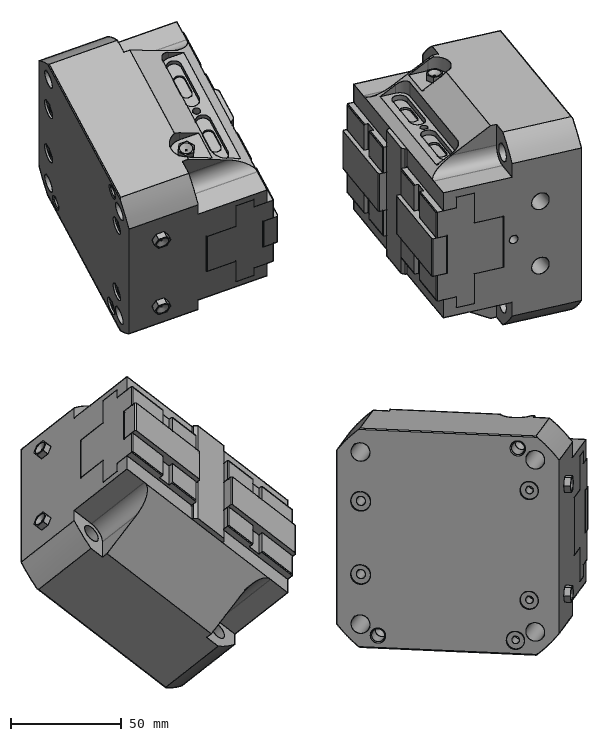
import cadquery as cq
import math


OVERALL_LENGTH = 105

BODY_SIDE = 102.0
BODY_DEPTH = 67.8
CORNER_RADIUS = 65.0
FRONT_CHAMFER = 0.5
SLOPE_START = 37.0
SLOPE_ANGLE = 30
NOTCH_START = 34.0
NOTCH_EDGE = 33.1
NOTCH_RADIUS = 6.9
HALF_SIDE = BODY_SIDE / 2

RIDGE_WIDTH = 19.2
RIDGE_TOP = 70.0
RIDGE_CHAMFER = 1.4

JAW_TOP = 71.2
JAW_NECK_HALF = 23.5
JAW_FLANGE_TOP = 61.4
JAW_FLANGE_HALF = 29.2
JAW_FLANGE_BOTTOM = 52.6
JAW_STEM_HALF = 13.4
JAW_BOTTOM = 38.1
JAW_CHAMFER = 0.4
JAW_GAP = 20.0
JAW_LENGTH = (BODY_SIDE - JAW_GAP) / 2
JAW_X = (BODY_SIDE + JAW_GAP) / 4
CROSS_SLOT_WIDTH = 6.0
CROSS_SLOT_DEPTH = 2.1
CROSS_SLOT_X = 28.5

KEY_WIDTH = 19.8
KEY_TOP = 73.3
KEY_BOTTOM = 65.7
KEY_CHAMFER = 0.5
KEY_HEIGHT = KEY_TOP - KEY_BOTTOM
KEY_Y = (KEY_TOP + KEY_BOTTOM) / 2

DRILL_TIP_ANGLE = 118
MOUNT_HOLE_DIAMETER = 8.6
MOUNT_HOLE_OFFSET = 40.0
DOWEL_DIAMETER = 6.0
DOWEL_DEPTH = 10.0
DOWEL_CHAMFER = 0.5
DOWEL_X = 32.0
DOWEL_Z = 44.9
SEAL_DEPTH = 1.0
LEFT_PORT_DIAMETER = 4.2
LEFT_SEAL_DIAMETER = 9.0
LEFT_PORT_Z = 17.0
RIGHT_PORT_DIAMETER = 3.5
RIGHT_PORT_DEPTH = 10.0
RIGHT_SEAL_DIAMETER = 8.3
RIGHT_PORT_X = 37.2
RIGHT_PORT_Z = 25.5
PURGE_PORT_X = 30.9
PURGE_PORT_Z = -44.4

SIDE_PORT_DIAMETER = 8.6
SIDE_PORT_DEPTH = 12.0
SIDE_PORT_Y = 20.2
SIDE_VENT_DIAMETER = 4.2
SIDE_VENT_DEPTH = 10.0
SIDE_VENT_Y = 33.3

SENSOR_LENGTH = 64.0
SENSOR_NEAR_Y = 50.5
SENSOR_FAR_Y = 63.0
SENSOR_CORNER_RADIUS = 4.9
OVAL_X = 16.4
OVAL_Y = 55.8
OVAL_LENGTH = 27.1
OVAL_WIDTH = 7.2
OVAL_DEPTH = 2.5
INNER_OVAL_LENGTH = 13.0
INNER_OVAL_WIDTH = 5.4
INNER_OVAL_DEPTH = 3.6
SENSOR_HOLE_DIAMETER = 3.5
SENSOR_HOLE_DEPTH = 5.2
SENSOR_HOLE_Y = 55.3

NIPPLE_POCKET_WIDTH = 15.0
NIPPLE_POCKET_X = 24.5
NIPPLE_POCKET_Y = 39.6
NIPPLE_POCKET_FAR_Y = 49.0

NIPPLE_FLATS = 6.9
NIPPLE_LENGTH = OVERALL_LENGTH - BODY_SIDE
NIPPLE_MOUTH_DIAMETER = 6.0
NIPPLE_BORE_DIAMETER = 0.7
FUNNEL_DEPTH = 1.4
SIDE_NIPPLE_Y = 15.2

SIDES = (-1, 1)
X_DIRECTION = cq.Vector(1, 0, 0)
Y_DIRECTION = cq.Vector(0, 1, 0)
DOWN = cq.Vector(0, 0, -1)


def slope_height(y):
    """Height z of the sloped top face at depth y."""
    return HALF_SIDE - (y - SLOPE_START) * math.tan(math.radians(SLOPE_ANGLE))


def rear_plane(y):
    """Work plane at depth y that faces +Y."""
    return cq.Workplane("XZ", origin=(0, y, 0)).transformed(rotate=(0, 180, 0))


def cylinder(start, direction, diameter, depth):
    return cq.Workplane(cq.Solid.makeCylinder(diameter / 2, depth, start, direction))


def blind_hole(start, direction, diameter, depth):
    """Cutter for a drilled hole with a conical tip beyond its depth."""
    radius = diameter / 2
    tip_length = radius / math.tan(math.radians(DRILL_TIP_ANGLE / 2))
    tip = cq.Solid.makeCone(radius, 0, tip_length, start + direction * depth, direction)
    return cylinder(start, direction, diameter, depth).union(cq.Workplane(tip))


def jaw_section():
    """Stepped section of the jaw and its slot in the YZ plane."""
    upper_half = [
        (JAW_TOP, JAW_NECK_HALF),
        (JAW_FLANGE_TOP, JAW_NECK_HALF),
        (JAW_FLANGE_TOP, JAW_FLANGE_HALF),
        (JAW_FLANGE_BOTTOM, JAW_FLANGE_HALF),
        (JAW_FLANGE_BOTTOM, JAW_STEM_HALF),
        (JAW_BOTTOM, JAW_STEM_HALF),
    ]
    lower_half = [(y, -z) for y, z in reversed(upper_half)]
    return cq.Workplane("YZ").polyline(upper_half + lower_half).close()


def housing_block():
    """Square block with rounded corners and sloped rear top and bottom."""
    block = rear_plane(0).rect(BODY_SIDE, BODY_SIDE).extrude(BODY_DEPTH)
    block = block.faces("<Y").edges("|X").chamfer(FRONT_CHAMFER)
    block = block.intersect(rear_plane(0).circle(CORNER_RADIUS).extrude(BODY_DEPTH))
    rear_height = slope_height(BODY_DEPTH)
    side_outline = [
        (0, HALF_SIDE),
        (SLOPE_START, HALF_SIDE),
        (BODY_DEPTH, rear_height),
        (BODY_DEPTH, -rear_height),
        (SLOPE_START, -HALF_SIDE),
        (0, -HALF_SIDE),
    ]
    return block.intersect(cq.Workplane("YZ").polyline(side_outline).close().extrude(HALF_SIDE, both=True))


def cut_corner_notches(body):
    """Square rear corners removed, with a rounded inner corner along Y."""
    depth = BODY_DEPTH - NOTCH_START
    reach = 2 * (HALF_SIDE - NOTCH_EDGE)
    centre = NOTCH_EDGE + reach / 2
    centre_y = NOTCH_START + depth / 2
    notch = cq.Workplane().box(reach, depth, reach).edges("|Y").fillet(NOTCH_RADIUS)
    for side_x in SIDES:
        for side_z in SIDES:
            body = body.cut(notch.translate((side_x * centre, centre_y, side_z * centre)))
    return body


def ridge():
    height = RIDGE_TOP - BODY_DEPTH
    bar = cq.Workplane().box(RIDGE_WIDTH, height, 2 * slope_height(BODY_DEPTH))
    bar = bar.edges(">Y and |Z").chamfer(RIDGE_CHAMFER)
    return bar.translate((0, BODY_DEPTH + height / 2, 0))


def cut_front_holes(body):
    mount_spacing = 2 * MOUNT_HOLE_OFFSET
    mount_holes = rear_plane(0).rarray(mount_spacing, mount_spacing, 2, 2).circle(MOUNT_HOLE_DIAMETER / 2)
    body = body.cut(mount_holes.extrude(BODY_DEPTH))

    for side in SIDES:
        dowel_start = cq.Vector(side * DOWEL_X, 0, side * DOWEL_Z)
        body = body.cut(blind_hole(dowel_start, Y_DIRECTION, DOWEL_DIAMETER, DOWEL_DEPTH))
        radius = DOWEL_DIAMETER / 2
        lead_in = cq.Solid.makeCone(radius + DOWEL_CHAMFER, radius, DOWEL_CHAMFER, dowel_start, Y_DIRECTION)
        body = body.cut(cq.Workplane(lead_in))

    right_ports = [
        (RIGHT_PORT_X, RIGHT_PORT_Z),
        (RIGHT_PORT_X, -RIGHT_PORT_Z),
        (PURGE_PORT_X, PURGE_PORT_Z),
    ]
    for x, z in right_ports:
        start = cq.Vector(x, 0, z)
        body = body.cut(cylinder(start, Y_DIRECTION, RIGHT_SEAL_DIAMETER, SEAL_DEPTH))
        body = body.cut(blind_hole(start, Y_DIRECTION, RIGHT_PORT_DIAMETER, RIGHT_PORT_DEPTH))
    return body


def cut_side_holes(body):
    """Ports in the -X face, each met by a port from the front, and a vent."""
    for side in SIDES:
        z = side * LEFT_PORT_Z
        front_start = cq.Vector(-MOUNT_HOLE_OFFSET, 0, z)
        side_start = cq.Vector(-HALF_SIDE, SIDE_PORT_Y, z)
        body = body.cut(cylinder(front_start, Y_DIRECTION, LEFT_SEAL_DIAMETER, SEAL_DEPTH))
        body = body.cut(cylinder(front_start, Y_DIRECTION, LEFT_PORT_DIAMETER, SIDE_PORT_Y))
        body = body.cut(blind_hole(side_start, X_DIRECTION, SIDE_PORT_DIAMETER, SIDE_PORT_DEPTH))
    vent_start = cq.Vector(-HALF_SIDE, SIDE_VENT_Y, 0)
    return body.cut(blind_hole(vent_start, X_DIRECTION, SIDE_VENT_DIAMETER, SIDE_VENT_DEPTH))


def cut_sensor_pocket(body):
    """Flat-floored pocket with two stepped oval recesses and a hole between them."""
    floor_z = slope_height(SENSOR_FAR_Y)
    width = SENSOR_FAR_Y - SENSOR_NEAR_Y
    pocket = (
        cq.Workplane("XY", origin=(0, SENSOR_NEAR_Y + width / 2, floor_z))
        .rect(SENSOR_LENGTH, width)
        .extrude(HALF_SIDE - floor_z)
        .edges("|Z and <Y")
        .fillet(SENSOR_CORNER_RADIUS)
    )
    floor = cq.Workplane("XY", origin=(0, 0, floor_z))
    oval_places = [(side * OVAL_X, OVAL_Y) for side in SIDES]
    ovals = floor.pushPoints(oval_places).slot2D(OVAL_LENGTH, OVAL_WIDTH).extrude(-OVAL_DEPTH)
    inner_ovals = (
        floor.pushPoints(oval_places)
        .slot2D(INNER_OVAL_LENGTH, INNER_OVAL_WIDTH)
        .extrude(-INNER_OVAL_DEPTH)
    )
    hole_start = cq.Vector(0, SENSOR_HOLE_Y, floor_z)
    hole = cylinder(hole_start, DOWN, SENSOR_HOLE_DIAMETER, SENSOR_HOLE_DEPTH)
    return body.cut(pocket).cut(ovals).cut(inner_ovals).cut(hole)


def cut_nipple_pocket(body):
    """Flat-floored pocket with a round end, running out of the slope."""
    floor_z = slope_height(NIPPLE_POCKET_FAR_Y)
    radius = NIPPLE_POCKET_WIDTH / 2
    straight = NIPPLE_POCKET_FAR_Y - NIPPLE_POCKET_Y
    pocket = (
        cq.Workplane("XY", origin=(NIPPLE_POCKET_X, NIPPLE_POCKET_Y, floor_z))
        .moveTo(-radius, 0)
        .threePointArc((0, -radius), (radius, 0))
        .lineTo(radius, straight)
        .lineTo(-radius, straight)
        .close()
        .extrude(HALF_SIDE - floor_z)
    )
    return body.cut(pocket)


def make_housing():
    body = cut_corner_notches(housing_block())
    body = body.cut(jaw_section().extrude(HALF_SIDE, both=True))
    body = body.union(ridge())
    body = cut_front_holes(body)
    body = cut_side_holes(body)
    body = cut_sensor_pocket(body)
    return cut_nipple_pocket(body)


def make_jaw(side):
    jaw = jaw_section().extrude(JAW_LENGTH / 2, both=True)
    jaw = jaw.faces(">Y").edges().chamfer(JAW_CHAMFER)
    jaw = jaw.faces("<Y").edges("|Z").chamfer(JAW_CHAMFER)
    jaw = jaw.translate((side * JAW_X, 0, 0))
    key_groove = cq.Workplane().box(JAW_LENGTH, KEY_HEIGHT, KEY_WIDTH)
    cross_slot = cq.Workplane().box(CROSS_SLOT_WIDTH, 2 * CROSS_SLOT_DEPTH, 2 * JAW_NECK_HALF)
    jaw = jaw.cut(key_groove.translate((side * JAW_X, KEY_Y, 0)))
    return jaw.cut(cross_slot.translate((side * CROSS_SLOT_X, JAW_TOP, 0)))


def make_key(side):
    key = cq.Workplane().box(JAW_LENGTH, KEY_HEIGHT, KEY_WIDTH).edges("|Z").chamfer(KEY_CHAMFER)
    return key.translate((side * JAW_X, KEY_Y, 0))


def make_nipple():
    """Nipple standing on the origin along +Z, with two hexagon corners along Y."""
    across_corners = NIPPLE_FLATS / math.cos(math.pi / 6)
    nipple = cq.Workplane("XY").polygon(6, across_corners).extrude(NIPPLE_LENGTH)
    nipple = nipple.rotate((0, 0, 0), (0, 0, 1), 90)
    mouth = cq.Vector(0, 0, NIPPLE_LENGTH)
    mouth_radius = NIPPLE_MOUTH_DIAMETER / 2
    bore_radius = NIPPLE_BORE_DIAMETER / 2
    funnel = cq.Solid.makeCone(mouth_radius, bore_radius, FUNNEL_DEPTH, mouth, DOWN)
    bore = cylinder(mouth, DOWN, NIPPLE_BORE_DIAMETER, NIPPLE_LENGTH)
    return nipple.cut(cq.Workplane(funnel)).cut(bore)


def make_top_nipple():
    floor_z = slope_height(NIPPLE_POCKET_FAR_Y)
    return make_nipple().translate((NIPPLE_POCKET_X, NIPPLE_POCKET_Y, floor_z))


def make_side_nipple(side):
    nipple = make_nipple().rotate((0, 0, 0), (0, 1, 0), 90)
    return nipple.translate((HALF_SIDE, SIDE_NIPPLE_Y, side * RIGHT_PORT_Z))


housing = make_housing()
jaws = [make_jaw(side) for side in SIDES]
keys = [make_key(side) for side in SIDES]
nipples = [make_top_nipple()] + [make_side_nipple(side) for side in SIDES]

bodies = [housing] + jaws + keys + nipples
result = cq.Compound.makeCompound([body.solids().val() for body in bodies])